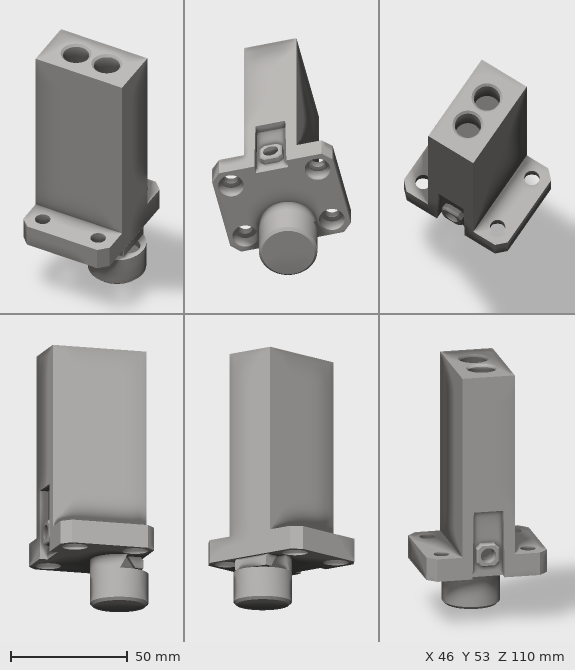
import cadquery as cq
import math


overall_height = 110

block_length = 42.0
block_width = 23.0
block_height = 90.0

port_core_diameter = 11.2
port_mouth_diameter = 13.2
port_spacing = 15.0
port_depth = 12.1
port_mouth_angle = 45

slot_height = 29.8
slot_depth = 3.5
slot_top_width = 13.1
slot_draft_angle = 1

boss_length = 3.1
boss_size = 10.0
boss_corner_chamfer = 2.0
boss_end_chamfer = 0.5
boss_hole_diameter = 6.6
boss_hole_depth = 8.8

overall_width = 53.0
flange_thickness = 10.0
flange_corner_chamfer = 4.0
tongue_depth = 1.4
tongue_height = 5.1
flange_hole_diameter = 6.6
flange_hole_spacing_x = 27.0
flange_hole_spacing_y = 38.1
counterbore_diameter = 11
counterbore_depth = 6.4

spigot_diameter = 25.1
spigot_bottom_chamfer = 1.2
spigot_overhang = 4.0
hook_gap = 6.0
hook_top_x = 12.2
hook_slope_angle = 28
hook_hole_diameter = 10.5
hook_hole_offset = 5.4
hook_hole_depth = 3.3

wedge_height = 5.0
wedge_end_x = 20.5
wedge_end_chamfer = 1.1
wedge_body_width = 13.2
wedge_head_width = 17.6
wedge_head_top_x = 13.6
wedge_head_bottom_x = 17.0

block_end_x = block_length / 2
boss_end_x = slot_depth - boss_length - block_end_x
spigot_height = overall_height - block_height
flange_reach = (overall_width - block_width) / 2
spigot_x = block_end_x + spigot_overhang - spigot_diameter / 2
hook_slope = math.tan(math.radians(hook_slope_angle))


def extrude_across(points, width):
    """Extrude an XZ outline symmetrically about Y = 0."""
    return cq.Workplane("XZ").polyline(points).close().extrude(width / 2, both=True)


def make_tongue(side):
    """Upper strip of a flange that reaches into the block; side is +1 or -1 in Y."""
    return cq.Workplane("XY").box(block_length, tongue_depth, tongue_height).translate(
        (0, side * (block_width - tongue_depth) / 2, flange_thickness - tongue_height / 2)
    )


def make_flange(side):
    """Mounting flange with chamfered outer corners and two holes counterbored from below."""
    outer_edges = "|Z and >Y" if side > 0 else "|Z and <Y"
    flange = (
        cq.Workplane("XY")
        .box(block_length, flange_reach, flange_thickness, centered=(True, True, False))
        .translate((0, side * (block_width + flange_reach) / 2, 0))
        .edges(outer_edges)
        .chamfer(flange_corner_chamfer)
    )
    hole_y = side * flange_hole_spacing_y / 2
    hole_points = [(-flange_hole_spacing_x / 2, hole_y), (flange_hole_spacing_x / 2, hole_y)]
    centres = cq.Workplane("XY").pushPoints(hole_points)
    holes = centres.circle(flange_hole_diameter / 2).extrude(flange_thickness)
    counterbores = centres.circle(counterbore_diameter / 2).extrude(counterbore_depth)
    return flange.cut(holes).cut(counterbores).union(make_tongue(side))


def make_ports():
    """Two blind round ports, each with a conical chamfer at its mouth."""
    mouth_step = (port_mouth_diameter - port_core_diameter) / 2
    mouth_chamfer = mouth_step / math.tan(math.radians(port_mouth_angle))
    bores = cq.Workplane("XY", origin=(0, 0, block_height))
    bores = bores.pushPoints([(-port_spacing / 2, 0), (port_spacing / 2, 0)])
    cores = bores.circle(port_core_diameter / 2).extrude(-port_depth)
    mouths = bores.circle(port_mouth_diameter / 2).extrude(-mouth_chamfer, taper=port_mouth_angle)
    return cores.union(mouths)


def make_slot():
    """Slot cutter, open at the block's underside and widening downwards."""
    top_half = slot_top_width / 2
    bottom_half = top_half + slot_height * math.tan(math.radians(slot_draft_angle))
    return (
        cq.Workplane("YZ", origin=(-block_end_x, 0, 0))
        .polyline([(-bottom_half, 0), (-top_half, slot_height), (top_half, slot_height), (bottom_half, 0)])
        .close()
        .extrude(slot_depth)
    )


def make_boss():
    """Octagonal boss on the slot floor, centred level with the flange tops."""
    return (
        cq.Workplane("YZ", origin=(boss_end_x, 0, flange_thickness))
        .rect(boss_size, boss_size)
        .extrude(boss_length)
        .edges("|X")
        .chamfer(boss_corner_chamfer)
        .faces("<X")
        .chamfer(boss_end_chamfer)
    )


def make_spigot():
    """Round spigot with a sloped notch that leaves a hook on the +X side."""
    spigot = (
        cq.Workplane("XY")
        .center(spigot_x, 0)
        .circle(spigot_diameter / 2)
        .extrude(-spigot_height)
        .faces("<Z")
        .chamfer(spigot_bottom_chamfer)
    )
    notch_end_x = spigot_x + spigot_diameter
    notch = extrude_across(
        [
            (hook_top_x, 0),
            (hook_top_x - hook_gap * hook_slope, -hook_gap),
            (notch_end_x, -hook_gap),
            (notch_end_x, 0),
        ],
        2 * spigot_diameter,
    )
    hook_hole = (
        cq.Workplane("XY", origin=(spigot_x + hook_hole_offset, 0, -hook_gap))
        .circle(hook_hole_diameter / 2)
        .extrude(-hook_hole_depth)
    )
    return spigot.cut(notch).cut(hook_hole)


def make_housing():
    """Block and spigot in one piece, with ports, slot, boss and flange grooves."""
    block = cq.Workplane("XY").box(block_length, block_width, block_height, centered=(True, True, False))
    boss_hole = (
        cq.Workplane("YZ", origin=(boss_end_x, 0, flange_thickness))
        .circle(boss_hole_diameter / 2)
        .extrude(boss_hole_depth)
    )
    housing = block.cut(make_ports()).cut(make_slot()).union(make_boss()).cut(boss_hole).union(make_spigot())
    for side in (-1, 1):
        housing = housing.cut(make_tongue(side))
    return housing


def make_wedge():
    """Wedge that bears on the sloped face of the hook and on the block's underside."""
    body = extrude_across(
        [
            (hook_top_x, 0),
            (hook_top_x - wedge_height * hook_slope, -wedge_height),
            (wedge_head_bottom_x, -wedge_height),
            (wedge_head_top_x, 0),
        ],
        wedge_body_width,
    )
    head = extrude_across(
        [
            (wedge_head_top_x, 0),
            (wedge_head_bottom_x, -wedge_height),
            (wedge_end_x, -wedge_height),
            (wedge_end_x, -wedge_end_chamfer),
            (wedge_end_x - wedge_end_chamfer, 0),
        ],
        wedge_head_width,
    )
    return body.union(head)


housing = make_housing()
flanges = [make_flange(side) for side in (-1, 1)]
wedge = make_wedge()

result = cq.Compound.makeCompound([housing.val(), *[flange.val() for flange in flanges], wedge.val()])